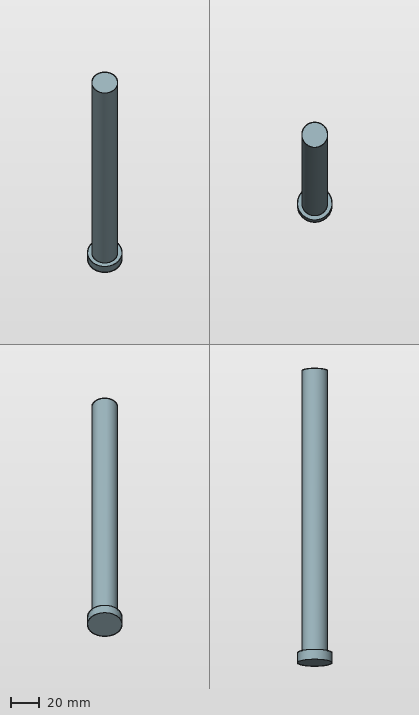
import cadquery as cq

total_length = 207.0
head_diameter = 24.0
head_height = 7.0
shank_diameter = 18.0

head = cq.Workplane("XY").circle(head_diameter / 2).extrude(head_height)
shank = cq.Workplane("XY").circle(shank_diameter / 2).extrude(total_length)

result = head.union(shank)